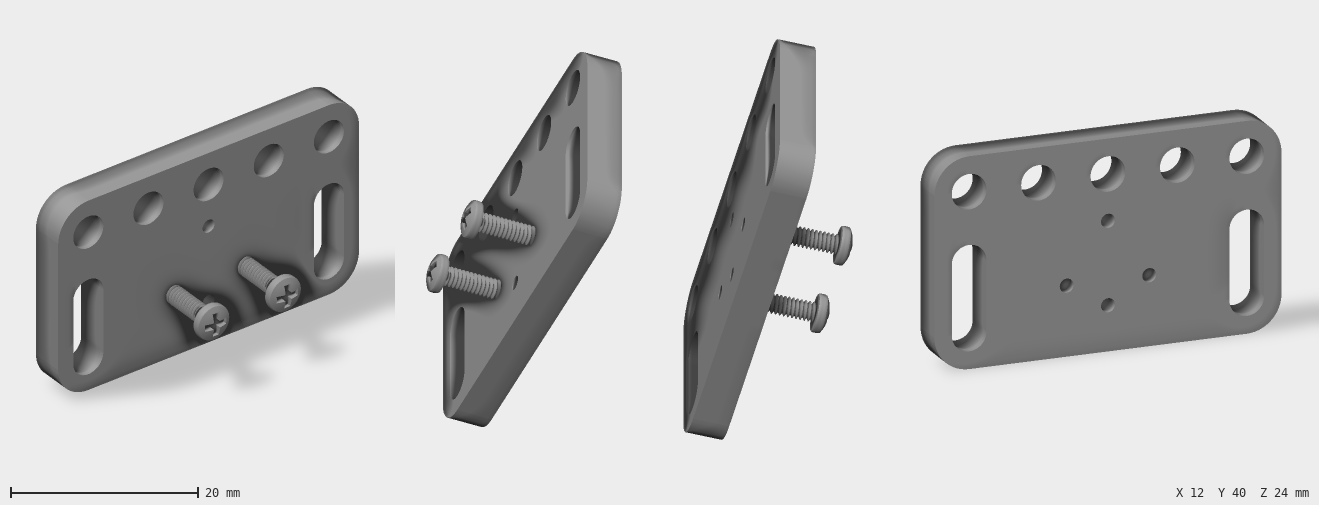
import cadquery as cq
import math

plate_length = 40.0
plate_height = 24.0
plate_thickness = 4.0
corner_radius = 4.0

row_hole_diameter = 4.0
row_hole_count = 5
row_hole_pitch = 8.0
row_z = 8.0

slot_width = 4.0
slot_length = 12.0
slot_y = 16.0
slot_z = -4.0

bore_diameter = 1.6
bore_spacing = 9.5
open_pair_z = -2.05
screw_z = -4.0

thread_diameter = 2.2
thread_turns = 14.3
thread_flank_angle = 60.0
crest_flats_per_pitch = 8
thread_root_overlap = 0.02
exposed_length = 6.5
thread_pitch = exposed_length / thread_turns
shank_in_plate = 3.1
core_radius = bore_diameter / 2

head_height = 1.5
head_radius = 2.1
head_edge_inset = 0.1
head_band_bottom = 0.3
head_band_top = 0.65
head_rim_height = 0.9
head_rim_radius = head_radius - head_edge_inset
crown_middle_radius = head_rim_radius / 2

recess_width = 0.8
recess_length = 2.8
recess_depth = 0.8


def make_plate():
    """Rounded plate with its hole row, end slots and small bores, all cut right through."""
    plate = (
        cq.Workplane("YZ")
        .rect(plate_length, plate_height)
        .extrude(plate_thickness)
        .edges("|X")
        .fillet(corner_radius)
    )
    row_span = (row_hole_count - 1) * row_hole_pitch
    row_points = [(i * row_hole_pitch - row_span / 2, row_z) for i in range(row_hole_count)]
    row_holes = (
        cq.Workplane("YZ")
        .pushPoints(row_points)
        .circle(row_hole_diameter / 2)
        .extrude(plate_thickness)
    )
    slots = (
        cq.Workplane("YZ")
        .pushPoints([(-slot_y, slot_z), (slot_y, slot_z)])
        .slot2D(slot_length, slot_width, 90)
        .extrude(plate_thickness)
    )
    half_spacing = bore_spacing / 2
    bore_points = [
        (0, open_pair_z + half_spacing),
        (0, open_pair_z - half_spacing),
        (half_spacing, screw_z),
        (-half_spacing, screw_z),
    ]
    bores = cq.Workplane("YZ").pushPoints(bore_points).circle(bore_diameter / 2).extrude(plate_thickness)
    return plate.cut(row_holes).cut(slots).cut(bores)


def make_thread():
    """Helical V ridge around Z, rooted just inside the core and trimmed to the exposed length."""
    crest_radius = thread_diameter / 2
    root_radius = core_radius - thread_root_overlap
    half_crest = thread_pitch / crest_flats_per_pitch / 2
    half_root = half_crest + (crest_radius - root_radius) * math.tan(math.radians(thread_flank_angle / 2))
    helix = cq.Wire.makeHelix(thread_pitch, exposed_length + 2 * thread_pitch, root_radius)
    ridge = (
        cq.Workplane("XZ")
        .moveTo(root_radius, -half_root)
        .lineTo(crest_radius, -half_crest)
        .lineTo(crest_radius, half_crest)
        .lineTo(root_radius, half_root)
        .close()
        .sweep(cq.Workplane(helix), isFrenet=True)
        .translate((0, 0, -thread_pitch))
    )
    envelope = cq.Workplane("XY").circle(thread_diameter).extrude(exposed_length)
    return ridge.intersect(envelope)


def make_head():
    """Pan head around Z with its bearing face at z = 0."""
    drop = head_height - head_rim_height
    crown_radius = (head_rim_radius**2 + drop**2) / (2 * drop)
    crown_middle_z = head_height - crown_radius + math.sqrt(crown_radius**2 - crown_middle_radius**2)
    lower_edge_radius = (head_band_bottom**2 + head_edge_inset**2) / (2 * head_edge_inset)
    lower_edge_middle_x = (
        head_radius - lower_edge_radius + math.sqrt(lower_edge_radius**2 - (head_band_bottom / 2) ** 2)
    )
    lower_edge_middle = (lower_edge_middle_x, head_band_bottom / 2)
    head = (
        cq.Workplane("XZ")
        .lineTo(head_rim_radius, 0)
        .threePointArc(lower_edge_middle, (head_radius, head_band_bottom))
        .lineTo(head_radius, head_band_top)
        .tangentArcPoint((head_rim_radius, head_rim_height), relative=False)
        .threePointArc((crown_middle_radius, crown_middle_z), (0, head_height))
        .close()
        .revolve(360, (0, 0, 0), (0, 1, 0))
    )
    recess_floor = cq.Workplane("XY").workplane(offset=head_height - recess_depth)
    arm_along_x = recess_floor.rect(recess_length, recess_width).extrude(recess_depth)
    arm_along_y = recess_floor.rect(recess_width, recess_length).extrude(recess_depth)
    return head.cut(arm_along_x.union(arm_along_y))


def make_screw(y):
    """Screw whose plain end fills the bore and whose thread starts at the plate face."""
    core = cq.Workplane("XY").workplane(offset=-shank_in_plate).circle(core_radius)
    core = core.extrude(shank_in_plate + exposed_length)
    head = make_head().translate((0, 0, exposed_length))
    screw = core.union(make_thread()).union(head)
    return screw.rotate((0, 0, 0), (0, 1, 0), 90).translate((plate_thickness, y, screw_z))


plate = make_plate()
screws = [make_screw(side * bore_spacing / 2) for side in (-1, 1)]

result = cq.Compound.makeCompound([plate.val(), *[screw.val() for screw in screws]])